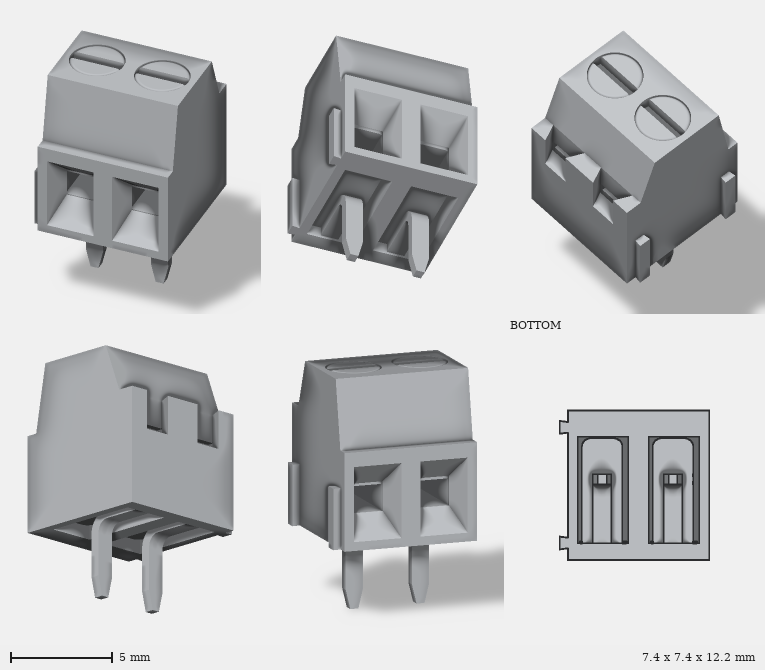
import cadquery as cq


POLE_COUNT = 2
POLE_PITCH = 3.5
POLE_AXIS_Y = 3.4
CONTACT_OFFSET = 0.05
POLE_XS = [POLE_PITCH * (index + 1 / 2) for index in range(POLE_COUNT)]

OVERALL_HEIGHT = 12.2
HOUSING_WIDTH = POLE_COUNT * POLE_PITCH
HOUSING_DEPTH = 7.4
HOUSING_HEIGHT = 8.5
FRONT_LEDGE_HEIGHT = 5.0
FRONT_LEDGE_DEPTH = 0.61
BACK_LEDGE_HEIGHT = 6.0
BACK_LEDGE_DEPTH = 0.92
TOP_FRONT_INSET = 1.26
TOP_BACK_INSET = 1.87

RAIL_PROJECTION = 0.4
RAIL_HEIGHT = 3.11
RAIL_TIP_WIDTH = 0.65
RAIL_ROOT_WIDTH = 0.54
RAIL_INSET = 0.84

FUNNEL_MOUTH_WIDTH = 2.5
FUNNEL_MOUTH_HEIGHT = 3.81
FUNNEL_MOUTH_BOTTOM = 0.45
FUNNEL_THROAT_SIZE = 1.5
FUNNEL_THROAT_BOTTOM = 1.6
FUNNEL_DEPTH = 1.32

CHAMBER_WIDTH = FUNNEL_MOUTH_WIDTH
CHAMBER_BACK = 6.58
CHAMBER_HEIGHT = 4.6

BACK_SLOT_FLOOR = 4.0
BACK_SLOT_INNER_WIDTH = 2.3
BACK_SLOT_OUTER_WIDTH = 1.46

HEAD_DIAMETER = 2.8
HEAD_HEIGHT = 1.5
HEAD_FILLET = 0.2
SHANK_DIAMETER = 1.9
DRIVE_SLOT_WIDTH = 0.56
DRIVE_SLOT_DEPTH = 0.7

PIN_WIDTH = 0.92
PIN_THICKNESS = 0.5
PIN_LENGTH = OVERALL_HEIGHT - HOUSING_HEIGHT
PIN_BEND_RADIUS = 0.6
PIN_BEND_DROP = 0.46
PIN_TIP_WIDTH = 0.43
PIN_TAPER_LENGTH = 1.0

CAGE_WIDTH = 2.0
CAGE_FRONT_GAP = 0.07
CAGE_FRONT = FUNNEL_DEPTH + CAGE_FRONT_GAP
CAGE_BOTTOM = PIN_BEND_RADIUS - PIN_BEND_DROP + PIN_THICKNESS
CAGE_TOP = 4.4
CAGE_CORNER_RADIUS = 0.4
CAGE_OPENING_WIDTH = 1.6
CAGE_OPENING_TOP = 2.95


def housing_blank():
    """Stepped side outline, carried along the whole row of poles."""
    return (
        cq.Workplane("YZ")
        .polyline(
            [
                (0, 0),
                (HOUSING_DEPTH, 0),
                (HOUSING_DEPTH, BACK_LEDGE_HEIGHT),
                (HOUSING_DEPTH - BACK_LEDGE_DEPTH, BACK_LEDGE_HEIGHT),
                (HOUSING_DEPTH - TOP_BACK_INSET, HOUSING_HEIGHT),
                (TOP_FRONT_INSET, HOUSING_HEIGHT),
                (FRONT_LEDGE_DEPTH, FRONT_LEDGE_HEIGHT),
                (0, FRONT_LEDGE_HEIGHT),
            ]
        )
        .close()
        .extrude(HOUSING_WIDTH)
    )


def dovetail_rail(middle_y):
    """Vertical rail on the -X side, wider at its tip than at its root."""
    return (
        cq.Workplane("XY")
        .polyline(
            [
                (0, middle_y - RAIL_ROOT_WIDTH / 2),
                (0, middle_y + RAIL_ROOT_WIDTH / 2),
                (-RAIL_PROJECTION, middle_y + RAIL_TIP_WIDTH / 2),
                (-RAIL_PROJECTION, middle_y - RAIL_TIP_WIDTH / 2),
            ]
        )
        .close()
        .extrude(RAIL_HEIGHT)
    )


def wire_funnel(pole_x):
    """Space of the funnel, from its mouth in the front face to its throat."""
    mouth_middle = FUNNEL_MOUTH_BOTTOM + FUNNEL_MOUTH_HEIGHT / 2
    throat_middle = FUNNEL_THROAT_BOTTOM + FUNNEL_THROAT_SIZE / 2
    return (
        cq.Workplane("XZ")
        .center(pole_x, mouth_middle)
        .rect(FUNNEL_MOUTH_WIDTH, FUNNEL_MOUTH_HEIGHT)
        .workplane(offset=-FUNNEL_DEPTH)
        .center(0, throat_middle - mouth_middle)
        .rect(FUNNEL_THROAT_SIZE, FUNNEL_THROAT_SIZE)
        .loft(ruled=True)
    )


def clamp_chamber(pole_x):
    """Space around the clamp cage, reaching down through the bottom face."""
    return cq.Workplane("XY").box(
        CHAMBER_WIDTH, CHAMBER_BACK - FUNNEL_DEPTH, CHAMBER_HEIGHT, centered=(True, False, False)
    ).translate((pole_x, FUNNEL_DEPTH, 0))


def back_slot(pole_x):
    """Space of the slot in the back ledge, narrower at the back face."""
    inner_y = HOUSING_DEPTH - BACK_LEDGE_DEPTH
    return (
        cq.Workplane("XY")
        .workplane(offset=BACK_SLOT_FLOOR)
        .polyline(
            [
                (pole_x - BACK_SLOT_INNER_WIDTH / 2, inner_y),
                (pole_x + BACK_SLOT_INNER_WIDTH / 2, inner_y),
                (pole_x + BACK_SLOT_OUTER_WIDTH / 2, HOUSING_DEPTH),
                (pole_x - BACK_SLOT_OUTER_WIDTH / 2, HOUSING_DEPTH),
            ]
        )
        .close()
        .extrude(BACK_LEDGE_HEIGHT - BACK_SLOT_FLOOR)
    )


def screw_blank(pole_x):
    """Plain head and shank, flush with the top of the housing."""
    head = (
        cq.Workplane("XY")
        .workplane(offset=HOUSING_HEIGHT - HEAD_HEIGHT)
        .center(pole_x, POLE_AXIS_Y)
        .circle(HEAD_DIAMETER / 2)
        .extrude(HEAD_HEIGHT)
    )
    shank = (
        cq.Workplane("XY")
        .workplane(offset=CAGE_OPENING_TOP)
        .center(pole_x, POLE_AXIS_Y)
        .circle(SHANK_DIAMETER / 2)
        .extrude(HOUSING_HEIGHT - HEAD_HEIGHT - CAGE_OPENING_TOP)
    )
    return head.union(shank)


def make_housing():
    housing = housing_blank()
    for middle_y in (RAIL_INSET, HOUSING_DEPTH - RAIL_INSET):
        housing = housing.union(dovetail_rail(middle_y))
    for pole_x in POLE_XS:
        housing = (
            housing.cut(wire_funnel(pole_x))
            .cut(clamp_chamber(pole_x))
            .cut(back_slot(pole_x))
            .cut(screw_blank(pole_x))
        )
    return housing


def make_screw(pole_x):
    """Screw with a rounded head edge and a straight driver slot."""
    drive_slot = cq.Workplane("XY").box(
        HEAD_DIAMETER, DRIVE_SLOT_WIDTH, DRIVE_SLOT_DEPTH, centered=(True, True, False)
    ).translate((pole_x, POLE_AXIS_Y, HOUSING_HEIGHT - DRIVE_SLOT_DEPTH))
    return screw_blank(pole_x).faces(">Z").edges().fillet(HEAD_FILLET).cut(drive_slot)


def make_cage(pole_x):
    """Clamp cage: a column with a wire opening along Y and the screw entering from above."""
    cage_x = pole_x - CONTACT_OFFSET
    depth = CHAMBER_BACK - CAGE_FRONT
    column = (
        cq.Workplane("XY")
        .box(CAGE_WIDTH, depth, CAGE_TOP - CAGE_BOTTOM, centered=(True, False, False))
        .edges("|Z and <Y")
        .fillet(CAGE_CORNER_RADIUS)
        .translate((cage_x, CAGE_FRONT, CAGE_BOTTOM))
    )
    opening = cq.Workplane("XY").box(
        CAGE_OPENING_WIDTH, depth, CAGE_OPENING_TOP - FUNNEL_THROAT_BOTTOM, centered=(True, False, False)
    ).translate((cage_x, CAGE_FRONT, FUNNEL_THROAT_BOTTOM))
    return column.cut(opening).cut(screw_blank(pole_x))


def make_pin(pole_x):
    """Bent strip with a tapered tip, its tail running back under the cage."""
    leg_front = POLE_AXIS_Y - PIN_THICKNESS / 2
    leg_back = leg_front + PIN_THICKNESS
    outer_radius = PIN_BEND_RADIUS + PIN_THICKNESS
    bend_y = leg_back + PIN_BEND_RADIUS
    side = (
        cq.Workplane("YZ")
        .moveTo(leg_front, -PIN_LENGTH)
        .lineTo(leg_front, -PIN_BEND_DROP)
        .radiusArc((bend_y, outer_radius - PIN_BEND_DROP), outer_radius)
        .lineTo(CHAMBER_BACK, outer_radius - PIN_BEND_DROP)
        .lineTo(CHAMBER_BACK, PIN_BEND_RADIUS - PIN_BEND_DROP)
        .lineTo(bend_y, PIN_BEND_RADIUS - PIN_BEND_DROP)
        .radiusArc((leg_back, -PIN_BEND_DROP), -PIN_BEND_RADIUS)
        .lineTo(leg_back, -PIN_LENGTH)
        .close()
        .extrude(PIN_WIDTH / 2, both=True)
    )
    taper_start = PIN_TAPER_LENGTH - PIN_LENGTH
    front_outline = (
        cq.Workplane("XZ")
        .polyline(
            [
                (-PIN_TIP_WIDTH / 2, -PIN_LENGTH),
                (PIN_TIP_WIDTH / 2, -PIN_LENGTH),
                (PIN_WIDTH / 2, taper_start),
                (PIN_WIDTH / 2, outer_radius),
                (-PIN_WIDTH / 2, outer_radius),
                (-PIN_WIDTH / 2, taper_start),
            ]
        )
        .close()
        .extrude(-HOUSING_DEPTH)
    )
    return side.intersect(front_outline).translate((pole_x - CONTACT_OFFSET, 0, 0))


housing = make_housing()
screws = [make_screw(pole_x) for pole_x in POLE_XS]
cages = [make_cage(pole_x) for pole_x in POLE_XS]
pins = [make_pin(pole_x) for pole_x in POLE_XS]

result = cq.Compound.makeCompound([body.val() for body in [housing, *screws, *cages, *pins]])